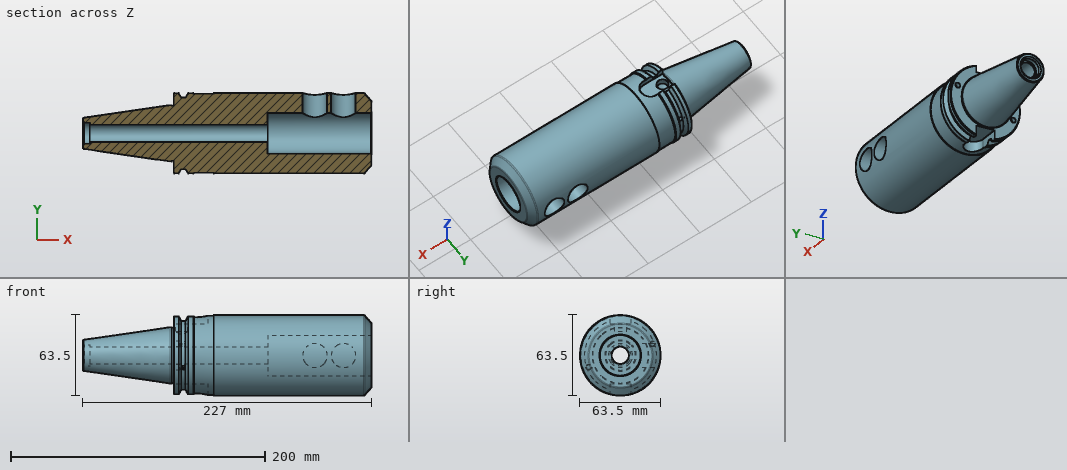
import cadquery as cq
import math

length = 227.0

taper_ratio = 7 / 24
gauge_x = 68.3
gauge_diameter = 44.5
gauge_land_end = 70.0
undercut_diameter = 43.5
tip_chamfer = 0.7

flange_start = 71.3
flange_end = 87.5
flange_diameter = 63.5
flange_chamfer = 0.7
groove_center = 79.0
groove_floor_width = 3.2
groove_mouth_width = 7.5
groove_diameter = 56.5

neck_diameter = 62.5
body_start = 103.0
body_diameter = 63.5
nose_length = 6.0
nose_diameter = 50.4
nose_rounding = 1.4

through_diameter = 13.5
tip_bore_diameter = 16.3
tip_bore_depth = 5.5
entry_diameter = 18.8
shank_diameter = 31.8
shank_depth = 81.7
shank_mouth_diameter = 33.0

slot_width = 16.3
slot_end = 98.0
upper_slot_floor = 24.7
lower_slot_floor = 22.2
dimple_x = 77.5
dimple_diameter = 9.5
dimple_depth = 6.0
dimple_tip_depth = 2.7

coolant_angle = 20.0
coolant_radius = 26.8
coolant_diameter = 4.3
coolant_depth = 4.5
coolant_tip_depth = 1.1
groove_hole_diameter = 3.2
groove_hole_depth = 4.0

screw_diameter = 19.0
screw_positions = (182.2, 204.7)


def revolve_about_x(points):
    """Revolve a closed (x, radius) outline about the X axis."""
    return cq.Workplane("XY").polyline(points).close().revolve(360, (0, 0, 0), (1, 0, 0))


def drill(base, direction, diameter, depth, tip_depth=0.0):
    """Blind hole cutter with an optional conical bottom."""
    axis = cq.Vector(*direction)
    start = cq.Vector(*base)
    hole = cq.Solid.makeCylinder(diameter / 2, depth, start, axis)
    if tip_depth > 0:
        tip = cq.Solid.makeCone(diameter / 2, 0, tip_depth, start + axis * depth, axis)
        hole = hole.fuse(tip)
    return cq.Workplane(obj=hole)


def turned_blank():
    """Solid outer shape with the edges of the nose chamfer rounded."""
    tip_radius = (gauge_diameter - gauge_x * taper_ratio) / 2
    flange_radius = flange_diameter / 2
    groove_radius = groove_diameter / 2
    floor_half = groove_floor_width / 2
    mouth_half = groove_mouth_width / 2
    blank = revolve_about_x([
        (0, 0),
        (0, tip_radius - tip_chamfer),
        (tip_chamfer, tip_radius + tip_chamfer * taper_ratio / 2),
        (gauge_x, gauge_diameter / 2),
        (gauge_land_end, gauge_diameter / 2),
        (gauge_land_end, undercut_diameter / 2),
        (flange_start, undercut_diameter / 2),
        (flange_start, flange_radius - flange_chamfer),
        (flange_start + flange_chamfer, flange_radius),
        (groove_center - mouth_half, flange_radius),
        (groove_center - floor_half, groove_radius),
        (groove_center + floor_half, groove_radius),
        (groove_center + mouth_half, flange_radius),
        (flange_end - flange_chamfer, flange_radius),
        (flange_end, flange_radius - flange_chamfer),
        (flange_end, neck_diameter / 2),
        (body_start, neck_diameter / 2),
        (body_start, body_diameter / 2),
        (length - nose_length, body_diameter / 2),
        (length, nose_diameter / 2),
        (length, 0),
    ])
    nose_edges = cq.selectors.BoxSelector(
        (length - nose_length - nose_rounding, -body_diameter, -body_diameter),
        (length + nose_rounding, body_diameter, body_diameter),
    )
    circles = blank.edges(nose_edges).edges("%CIRCLE")
    return circles.fillet(nose_rounding)


def axial_bore():
    """Stepped bore along the whole axis."""
    entry_chamfer = (entry_diameter - tip_bore_diameter) / 2
    mouth_chamfer = (shank_mouth_diameter - shank_diameter) / 2
    shank_start = length - shank_depth
    return revolve_about_x([
        (0, 0),
        (0, entry_diameter / 2),
        (entry_chamfer, tip_bore_diameter / 2),
        (tip_bore_depth, tip_bore_diameter / 2),
        (tip_bore_depth, through_diameter / 2),
        (shank_start, through_diameter / 2),
        (shank_start, shank_diameter / 2),
        (length - mouth_chamfer, shank_diameter / 2),
        (length, shank_mouth_diameter / 2),
        (length, 0),
    ])


def drive_slot(floor, side):
    """Round-ended slot open at the flange face; side is +1 (top) or -1 (bottom)."""
    arc_center = slot_end - slot_width / 2
    return (
        cq.Workplane("XY", origin=(0, 0, side * floor))
        .moveTo(flange_start, -slot_width / 2)
        .lineTo(arc_center, -slot_width / 2)
        .threePointArc((slot_end, 0), (arc_center, slot_width / 2))
        .lineTo(flange_start, slot_width / 2)
        .close()
        .extrude(side * (flange_diameter / 2 - floor))
    )


def slot_dimple():
    """Blind round hole in the floor of the upper slot."""
    return drill(
        (dimple_x, 0, upper_slot_floor), (0, 0, -1),
        dimple_diameter, dimple_depth, dimple_tip_depth,
    )


def coolant_holes(side):
    """Axial hole in the flange face and the radial hole beneath the groove."""
    angle = math.radians(coolant_angle)
    outward_y = side * math.cos(angle)
    outward_z = side * math.sin(angle)
    axial = drill(
        (flange_start, coolant_radius * outward_y, coolant_radius * outward_z),
        (1, 0, 0), coolant_diameter, coolant_depth, coolant_tip_depth,
    )
    start_radius = flange_diameter / 2
    radial = drill(
        (groove_center, start_radius * outward_y, start_radius * outward_z),
        (0, -outward_y, -outward_z), groove_hole_diameter,
        start_radius - groove_diameter / 2 + groove_hole_depth,
    )
    return axial, radial


result = turned_blank().cut(axial_bore())
result = result.cut(drive_slot(upper_slot_floor, 1)).cut(drive_slot(lower_slot_floor, -1))
result = result.cut(slot_dimple())

for side in (1, -1):
    for hole in coolant_holes(side):
        result = result.cut(hole)

for screw_x in screw_positions:
    screw_hole = drill((screw_x, body_diameter / 2, 0), (0, -1, 0), screw_diameter, body_diameter / 2)
    result = result.cut(screw_hole)